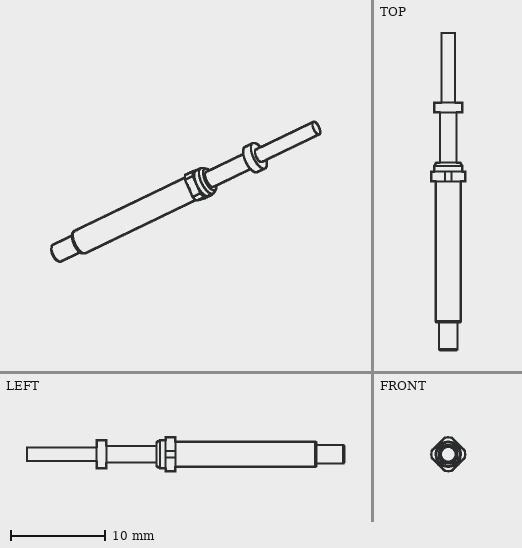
import cadquery as cq

tip_length = 3.0
body_length = 15.0
square_length = 1.0
collar_length = 0.98
neck_length = 5.35
disc_length = 1.0
total_length = 33.8

tip_diameter = 2.0
body_diameter = 2.67
collar_diameter = 3.0
neck_diameter = 1.8
disc_diameter = collar_diameter
tail_diameter = 1.5

square_across_flats = collar_diameter
square_across_corners = 3.6
flat_angle = 45

tip_chamfer_length = 0.17
tip_chamfer_depth = 0.2
body_chamfer_length = 0.17
body_chamfer_depth = 0.07
collar_chamfer_length = 0.37
collar_chamfer_depth = 0.25

tip_front = -total_length / 2
body_front = tip_front + tip_length
square_front = body_front + body_length
collar_front = square_front + square_length
neck_front = collar_front + collar_length
disc_front = neck_front + neck_length
tail_front = disc_front + disc_length
tail_back = total_length / 2


def turned(*outline):
    """Solid of revolution about Y from (Y position, radius) points, front to back."""
    front = outline[0][0]
    back = outline[-1][0]
    profile = [(front, 0), *outline, (back, 0)]
    return cq.Workplane("YZ").polyline(profile).close().revolve(360, (0, 0), (1, 0))


def cylinder(diameter, front, back):
    return turned((front, diameter / 2), (back, diameter / 2))


def chamfered_front(diameter, front, back, length, depth):
    """Cylinder with its front rim cut to a cone."""
    radius = diameter / 2
    return turned((front, radius - depth), (front + length, radius), (back, radius))


def chamfered_back(diameter, front, back, length, depth):
    """Cylinder with its back rim cut to a cone."""
    radius = diameter / 2
    return turned((front, radius), (back - length, radius), (back, radius - depth))


def square_flange():
    blank = cylinder(square_across_corners, square_front, collar_front)
    square = (
        cq.Workplane("XY")
        .box(square_across_flats, square_length, square_across_flats)
        .rotate((0, 0, 0), (0, 1, 0), flat_angle)
        .translate((0, (square_front + collar_front) / 2, 0))
    )
    return blank.intersect(square)


tip = chamfered_front(tip_diameter, tip_front, body_front, tip_chamfer_length, tip_chamfer_depth)
body = chamfered_front(body_diameter, body_front, square_front, body_chamfer_length, body_chamfer_depth)
collar = chamfered_back(
    collar_diameter, collar_front, neck_front, collar_chamfer_length, collar_chamfer_depth
)
neck = cylinder(neck_diameter, neck_front, disc_front)
disc = cylinder(disc_diameter, disc_front, tail_front)
tail = cylinder(tail_diameter, tail_front, tail_back)

result = tip
for section in (body, square_flange(), collar, neck, disc, tail):
    result = result.union(section)